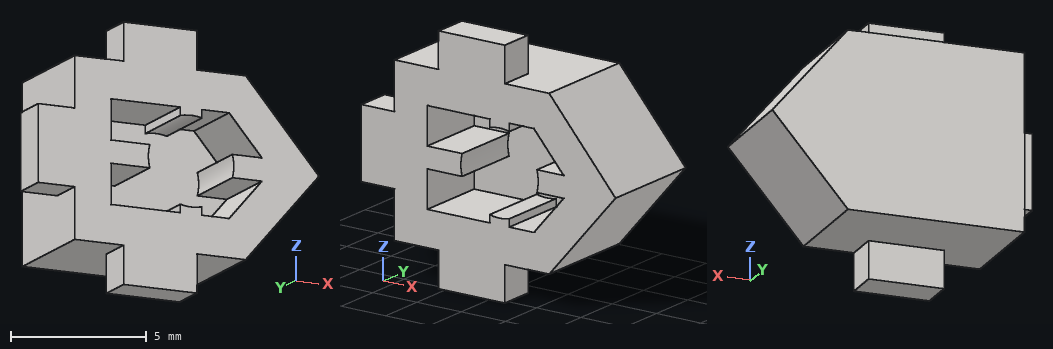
import cadquery as cq
import math

total_length = 11.5
total_height = 10.0
body_depth = 4.5
tab_size = 1.5
tab_width = 3.0
nose_length = 3.0
wall = 1.5
pocket_depth = 3.0
prong_width = 0.89
bore_radius = 1.75
bore_x = 6.26

body_left = tab_size
body_half_height = total_height / 2 - tab_size
nose_start = total_length - nose_length
side_tab_x = (body_left + nose_start) / 2


def box(x_min, x_max, z_min, z_max, depth):
    """Block that reaches from the front face back to the given depth."""
    return cq.Workplane("XY").box(
        x_max - x_min, depth, z_max - z_min, centered=False
    ).translate((x_min, 0, z_min))


def pointed_prism(left, shoulder, tip, half_height, depth):
    """House-shaped outline pointing along +X, extruded back from the front face."""
    outline = [
        (left, -half_height),
        (shoulder, -half_height),
        (tip, 0),
        (shoulder, half_height),
        (left, half_height),
    ]
    return cq.Workplane("XZ").polyline(outline).close().extrude(-depth)


def make_body():
    """Pointed block with a tab on the left, top and bottom."""
    body = pointed_prism(body_left, nose_start, total_length, body_half_height, body_depth)
    left_tab = box(0, body_left, -tab_width / 2, tab_width / 2, tab_size)
    cross_tabs = box(
        side_tab_x - tab_width / 2,
        side_tab_x + tab_width / 2,
        -total_height / 2,
        total_height / 2,
        tab_size,
    )
    return body.union(left_tab).union(cross_tabs)


def make_pocket():
    """Blind pocket parallel to the body outline, less four prongs around a bore."""
    half_height = body_half_height - wall
    slope_per_height = nose_length / body_half_height
    tip = total_length - wall * math.hypot(1, slope_per_height)
    shoulder = tip - half_height * slope_per_height
    left = body_left + wall
    pocket = pointed_prism(left, shoulder, tip, half_height, pocket_depth)

    level_prongs = box(left, tip, -prong_width / 2, prong_width / 2, pocket_depth)
    upright_prongs = box(
        bore_x - prong_width / 2,
        bore_x + prong_width / 2,
        -half_height,
        half_height,
        pocket_depth,
    )
    bore = cq.Workplane("XZ").center(bore_x, 0).circle(bore_radius).extrude(-pocket_depth)
    prongs = level_prongs.union(upright_prongs).cut(bore)
    return pocket.cut(prongs)


result = make_body().cut(make_pocket())